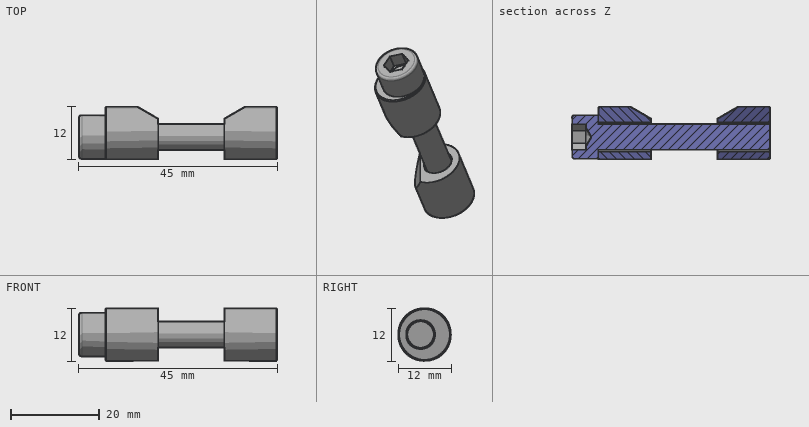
import cadquery as cq
import math

total_length = 45.0
sleeve_diameter = 12.0
sleeve_length = 12.0
sleeve_chamfer = 0.25
bevel_length = 4.75
bevel_angle = 30.0

screw_y = -0.9
head_diameter = 10.0
head_length = 6.0
head_fillet = 0.68
shank_diameter = 6.0
socket_flats = 5.0
socket_depth = 3.2
drill_diameter = 4.15
drill_tip_angle = 120.0

bore_diameter = 6.6

left_end = -total_length / 2
right_end = total_length / 2
head_seat = left_end + head_length


def rod(diameter, start, length, y=0.0):
    """Cylinder along +X, starting at x = start."""
    return cq.Workplane("YZ", origin=(start, y, 0)).circle(diameter / 2).extrude(length)


def make_screw():
    """Socket head cap screw reaching to the far end of the far sleeve."""
    head = rod(head_diameter, left_end, head_length, screw_y).faces("<X").edges().fillet(head_fillet)
    shank = rod(shank_diameter, head_seat, right_end - head_seat, screw_y)
    hexagon_sides = 6
    across_corners = socket_flats / math.cos(math.pi / hexagon_sides)
    socket = (
        cq.Workplane("YZ", origin=(left_end, screw_y, 0))
        .polygon(hexagon_sides, across_corners)
        .extrude(socket_depth)
    )
    tip_radius = drill_diameter / 2
    tip_depth = tip_radius / math.tan(math.radians(drill_tip_angle / 2))
    drill_tip = cq.Workplane(
        cq.Solid.makeCone(
            tip_radius,
            0,
            tip_depth,
            pnt=cq.Vector(left_end + socket_depth, screw_y, 0),
            dir=cq.Vector(1, 0, 0),
        )
    )
    return head.union(shank).cut(socket).cut(drill_tip)


def make_sleeve(outer_x, inward):
    """Sleeve with a chamfered outer end and a bevel on the +Y side of its inner end.

    inward is +1 when the sleeve extends from outer_x toward +X and -1 toward -X.
    """
    inner_x = outer_x + inward * sleeve_length
    start = min(outer_x, inner_x)
    outer_face = "<X" if inward > 0 else ">X"
    body = rod(sleeve_diameter, start, sleeve_length).faces(outer_face).edges().chamfer(sleeve_chamfer)
    bore = rod(bore_diameter, start, sleeve_length, screw_y)
    top_y = sleeve_diameter / 2
    bevel_drop = bevel_length * math.tan(math.radians(bevel_angle))
    bevel = (
        cq.Workplane("XY")
        .moveTo(inner_x, top_y)
        .lineTo(inner_x, top_y - bevel_drop)
        .lineTo(inner_x - inward * bevel_length, top_y)
        .close()
        .extrude(sleeve_diameter / 2, both=True)
    )
    return body.cut(bore).cut(bevel)


screw = make_screw()
head_sleeve = make_sleeve(head_seat, 1)
far_sleeve = make_sleeve(right_end, -1)

result = cq.Compound.makeCompound([screw.val(), head_sleeve.val(), far_sleeve.val()])